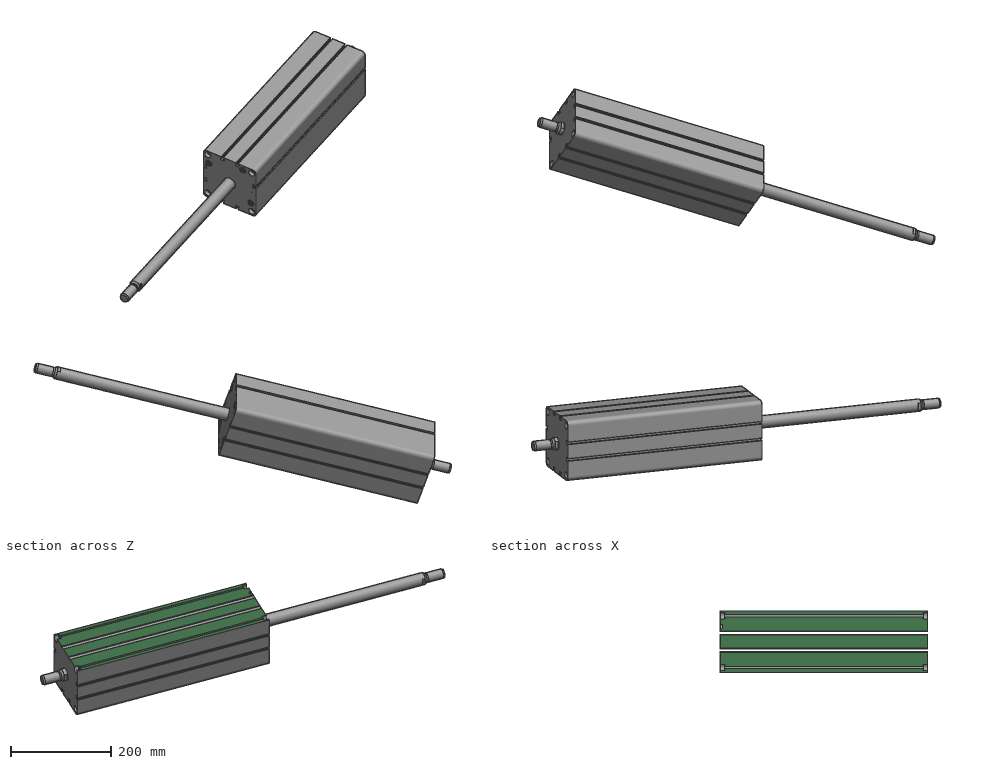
import cadquery as cq

rod_length = 866.5
rod_end = rod_length / 2

housing_side = 124.0
corner_radius = 9.0
cap_length = 18.0
housing_front = -32.0
housing_back = 382.0
housing_length = housing_back - housing_front
barrel_length = housing_length - 2 * cap_length

slot_offset = 17.0
slot_mouth_width = 5.0
slot_depth = 8.0
slot_floor_width = 8.0
slot_lip = 4.0

bolt_inset = 10.0
bolt_offset = housing_side / 2 - bolt_inset
bolt_diameter = 8.4
bolt_head_diameter = 14.0
bolt_head_depth = 9.0

screw_near = 30.0
screw_far = 49.0
screw_diameter = 11.0
screw_recess_diameter = 14.0
screw_recess_depth = 4.0
screw_slot_width = 4.0
screw_slot_depth = 3.0

pin_hole_diameter = 1.0
pin_hole_x = 51.0
pin_hole_depth = 4.0

rod_diameter = 25.0
rod_bore_diameter = 27.0
thread_diameter = 20.0
thread_length = 39.0
thread_chamfer = 1.3
thread_chamfer_length = 3.5
relief_diameter = 19.0
relief_length = 3.5
collar_chamfer = (rod_diameter - thread_diameter) / 2
collar_chamfer_length = 4.0
flats_width = 20.0
flats_length = 6.0
flats_to_collar_end = 4.0


def cylinders_along_y(diameter, y_start, length, points=((0, 0),)):
    """Cylinders along +Y from y_start, centred on the given (x, z) points."""
    plane = cq.Workplane("XZ", origin=(0, y_start, 0))
    return plane.pushPoints(points).circle(diameter / 2).extrude(-length)


def box_along_y(width, y_start, length, z_bottom, z_top):
    """A block centred on X, running along +Y from y_start."""
    block = cq.Workplane("XY").box(width, length, z_top - z_bottom, centered=(True, False, False))
    return block.translate((0, y_start, z_bottom))


def sensor_slot(offset):
    """One T-slot in the top face, at the given X offset."""
    face = housing_side / 2
    mouth = box_along_y(slot_mouth_width, housing_front, housing_length, face - slot_depth, face)
    floor = box_along_y(slot_floor_width, housing_front, housing_length, face - slot_depth, face - slot_lip)
    return mouth.union(floor).translate((offset, 0, 0))


def sensor_slots():
    """Two slots on the top, -X and bottom sides, and one on the +X side."""
    both_sides = (-slot_offset, slot_offset)
    slots = cq.Workplane("XZ")
    for turn, offsets in ((0, both_sides), (90, (-slot_offset,)), (180, both_sides), (270, both_sides)):
        for offset in offsets:
            slots = slots.add(sensor_slot(offset).rotate((0, 0, 0), (0, 1, 0), turn))
    return slots.combine()


def housing_segment(y_start, length):
    """Rounded square block; the joints between caps and barrel stay as seams."""
    block = cq.Workplane("XZ", origin=(0, y_start, 0)).rect(housing_side, housing_side).extrude(-length)
    return block.edges("|Y").fillet(corner_radius).cut(sensor_slots(), clean=False)


def housing():
    """Barrel with an end cap at each end."""
    barrel_front = housing_front + cap_length
    barrel_back = housing_back - cap_length
    body = housing_segment(barrel_front, barrel_length)
    body = body.union(housing_segment(housing_front, cap_length), clean=False)
    return body.union(housing_segment(barrel_back, cap_length), clean=False)


def bolt_holes():
    """Through holes in the corners, counterbored from both ends."""
    corners = [(sx * bolt_offset, sz * bolt_offset) for sx in (-1, 1) for sz in (-1, 1)]
    holes = cylinders_along_y(bolt_diameter, housing_front, housing_length, corners)
    for y_start in (housing_front, housing_back - bolt_head_depth):
        holes = holes.union(cylinders_along_y(bolt_head_diameter, y_start, bolt_head_depth, corners))
    return holes


def cushion_screw_cuts():
    """Ring recess and screwdriver slot of each cushion screw, a quarter turn apart."""
    centre = [(screw_near, screw_far)]
    recess = cylinders_along_y(screw_recess_diameter, housing_front, screw_recess_depth, centre)
    recess = recess.cut(cylinders_along_y(screw_diameter, housing_front, screw_recess_depth, centre))
    slot_bottom = screw_far - screw_diameter / 2
    slot_top = screw_far + screw_diameter / 2
    slot = box_along_y(screw_slot_width, housing_front, screw_slot_depth, slot_bottom, slot_top)
    screw = recess.union(slot.translate((screw_near, 0, 0)))
    cuts = cq.Workplane("XZ")
    for turn in (0, 90, 180, 270):
        cuts = cuts.add(screw.rotate((0, 0, 0), (0, 1, 0), turn))
    return cuts.combine()


def piston_rod():
    """Stepped rod turned about Y, with a thread, a relief and wrench flats at each end."""
    collar_end = rod_end - thread_length
    radius = rod_diameter / 2
    thread_radius = thread_diameter / 2
    end_profile = [
        (radius, collar_end - collar_chamfer_length),
        (radius - collar_chamfer, collar_end),
        (relief_diameter / 2, collar_end),
        (relief_diameter / 2, collar_end + relief_length),
        (thread_radius, collar_end + relief_length),
        (thread_radius, rod_end - thread_chamfer_length),
        (thread_radius - thread_chamfer, rod_end),
    ]
    mirrored = [(x, -y) for x, y in reversed(end_profile)]
    outline = [(0, -rod_end)] + mirrored + end_profile + [(0, rod_end)]
    rod = cq.Workplane("XY").polyline(outline).close().revolve(360, (0, 0, 0), (0, 1, 0))

    flats_centre = collar_end - flats_to_collar_end - flats_length / 2
    for y_centre in (-flats_centre, flats_centre):
        for side in (-1, 1):
            cutter = cq.Workplane("XY").box(rod_diameter, flats_length, rod_diameter)
            x_centre = side * (flats_width + rod_diameter) / 2
            rod = rod.cut(cutter.translate((x_centre, y_centre, 0)))
    return rod


rod_bore = cylinders_along_y(rod_bore_diameter, housing_front, cap_length)
pin_hole = cylinders_along_y(pin_hole_diameter, housing_front, pin_hole_depth, [(pin_hole_x, 0)])

result = housing()
for cut_tool in (bolt_holes(), cushion_screw_cuts(), rod_bore, pin_hole):
    result = result.cut(cut_tool, clean=False)
result = result.union(piston_rod(), clean=False)